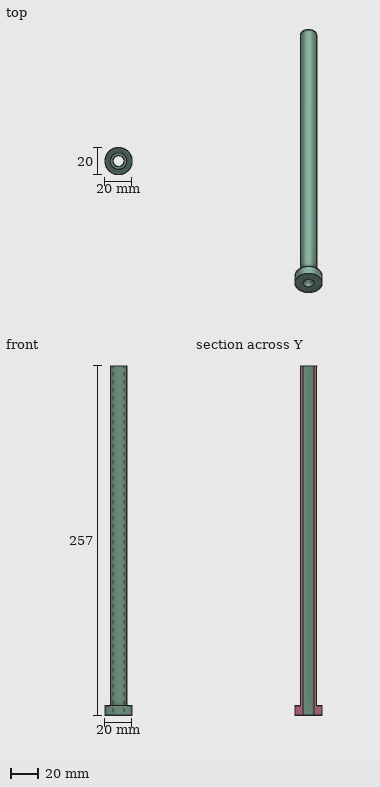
import cadquery as cq

total_length = 257.0
head_diameter = 20.0
head_height = 7.2
shaft_diameter = 12.0
bore_diameter = 8.0
root_fillet = 0.5

head = cq.Workplane("XY").circle(head_diameter / 2).extrude(head_height)
shaft = cq.Workplane("XY").circle(shaft_diameter / 2).extrude(total_length)
bore = cq.Workplane("XY").circle(bore_diameter / 2).extrude(total_length)

shaft_root = cq.selectors.RadiusNthSelector(0)
body = head.union(shaft)
body = body.faces("<Z[1]").edges(shaft_root).fillet(root_fillet)

result = body.cut(bore)